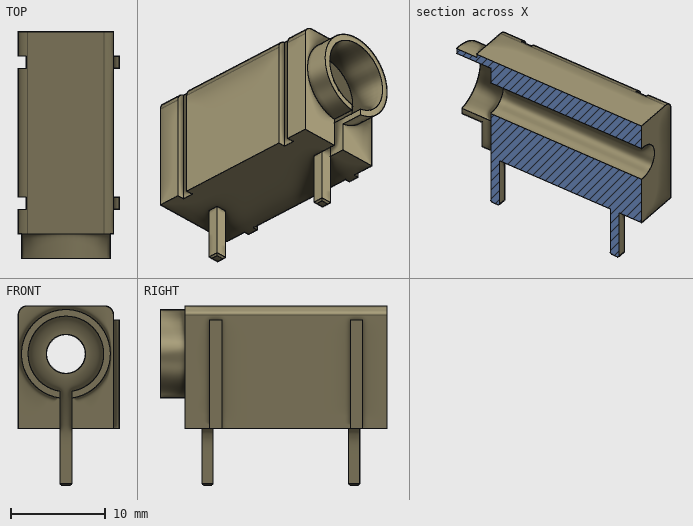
import cadquery as cq

body_width = 10.1
body_length = 21.4
body_height = 13.0
top_radius = 1.0

axis_height = 7.9
collar_diameter = 9.4
collar_length = 2.6
bore_diameter = 8.0
bore_floor = 1.8
hole_diameter = 4.1

pin_width = 1.3
pin_thickness = 1.2
pin_length = 6.0
pin_chamfer = 0.2
rear_pin_inset = 2.9
pin_starts = [bore_floor, body_length - rear_pin_inset - pin_thickness]

key_inset = 2.6
groove_width = 1.3
groove_depth = 0.85
rib_width = 1.3
rib_depth = 0.6
rib_top_gap = 1.5

collar_front = -collar_length


def box_from(x, y, z, dx, dy, dz):
    """Box with its lowest corner at (x, y, z)."""
    return cq.Workplane("XY").box(dx, dy, dz, centered=False).translate((x, y, z))


def axial_cylinder(diameter, y_start, y_end):
    """Cylinder on the collar axis, running from y_start to y_end."""
    start_plane = cq.Workplane("XZ", origin=(0, y_start, axis_height))
    return start_plane.circle(diameter / 2).extrude(y_start - y_end)


def key_starts(width):
    """Y of the front edge of each of the two keys of the given width."""
    return [key_inset, body_length - key_inset - width]


def make_housing():
    housing = box_from(-body_width / 2, 0, 0, body_width, body_length, body_height)
    housing = housing.edges("|Y and >Z").fillet(top_radius)
    return housing.union(axial_cylinder(collar_diameter, collar_front, 0))


def cut_grooves(part):
    for y in key_starts(groove_width):
        part = part.cut(box_from(-body_width / 2, y, 0, groove_depth, groove_width, body_height))
    return part


def add_ribs(part):
    for y in key_starts(rib_width):
        part = part.union(box_from(body_width / 2, y, 0, rib_depth, rib_width, body_height - rib_top_gap))
    return part


def cut_socket(part):
    part = part.cut(axial_cylinder(bore_diameter, collar_front, bore_floor))
    part = part.cut(axial_cylinder(hole_diameter, bore_floor, body_length))
    slot_length = bore_floor - collar_front
    return part.cut(box_from(-pin_width / 2, collar_front, 0, pin_width, slot_length, axis_height))


def add_pins(part):
    for y in pin_starts:
        pin = box_from(-pin_width / 2, y, -pin_length, pin_width, pin_thickness, pin_length)
        part = part.union(pin.faces("<Z").chamfer(pin_chamfer))
    return part


result = add_pins(cut_socket(add_ribs(cut_grooves(make_housing()))))